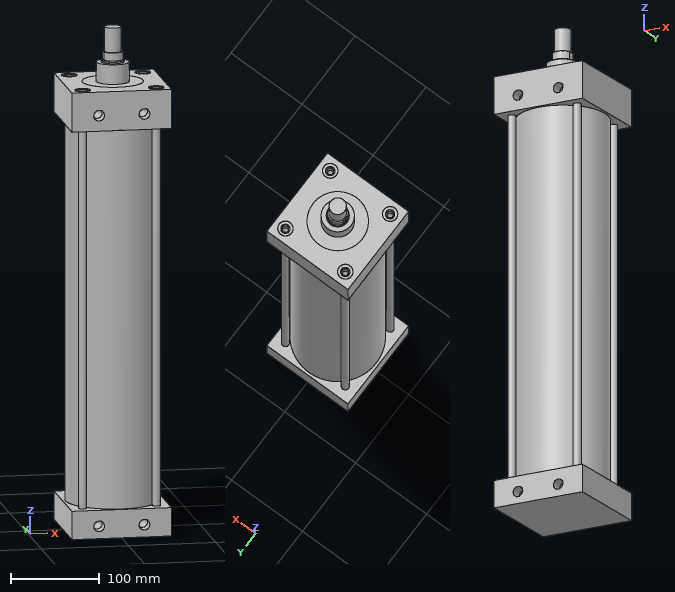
import cadquery as cq
import math

head_side = 114.5
cap_height = 33.0
rod_head_height = 45.0
rod_head_top = 515.0
rod_head_bottom = rod_head_top - rod_head_height

tube_diameter = 108.0
tie_rod_diameter = 9.0
tie_rod_pitch = 84.5

counterbore_diameter = 17.5
counterbore_depth = 0.85
socket_diameter = 10.5
socket_depth = 2.0
core_diameter = 7.5
core_depth = 9.0

port_pitch = 52.0
port_diameter = 12.0
port_depth = 14.5
cap_port_height = 14.5
rod_head_port_height = rod_head_bottom + 18.0
drill_point_angle = 118.0

gland_diameter = 69.5
boss_diameter = 37.5
boss_height = 22.5
boss_top = rod_head_top + boss_height

collar_diameter = 26.0
collar_height = 3.0
collar_chamfer = 1.0
neck_diameter = collar_diameter - 2 * collar_chamfer
neck_flat_width = 22.0
neck_height = 9.0
stud_diameter = 19.5
total_height = 578.0
neck_bottom = boss_top + collar_height
neck_top = neck_bottom + neck_height

tie_rod_offset = tie_rod_pitch / 2
tie_rod_places = [
    (x, y)
    for x in (-tie_rod_offset, tie_rod_offset)
    for y in (-tie_rod_offset, tie_rod_offset)
]
port_places = [
    (x, z)
    for x in (-port_pitch / 2, port_pitch / 2)
    for z in (cap_port_height, rod_head_port_height)
]


def head(bottom, height):
    """Square block centred on the axis."""
    return cq.Workplane("XY").workplane(offset=bottom).rect(head_side, head_side).extrude(height)


def cylinder(diameter, bottom, top, place=(0, 0)):
    """Upright cylinder between two heights."""
    base = cq.Workplane("XY").workplane(offset=bottom).center(*place)
    return base.circle(diameter / 2).extrude(top - bottom)


def drilled_hole(diameter, depth):
    """Blind hole going down from the origin, with a conical drill point."""
    radius = diameter / 2
    point_depth = depth + radius / math.tan(math.radians(drill_point_angle / 2))
    half_profile = [(0, 0), (radius, 0), (radius, -depth), (0, -point_depth)]
    return cq.Workplane("XZ").polyline(half_profile).close().revolve(360, (0, 0, 0), (0, 1, 0))


def tie_rod_recess(place):
    """Stepped recess in the rod-end head at one tie rod."""
    socket_top = rod_head_top - counterbore_depth
    socket_bottom = socket_top - socket_depth
    counterbore = cylinder(counterbore_diameter, socket_top, rod_head_top, place)
    socket = cylinder(socket_diameter, socket_bottom, socket_top, place)
    core = drilled_hole(core_diameter, core_depth).translate((*place, socket_bottom))
    return counterbore.union(socket).union(core)


def port(x, z):
    """Blind port going in from the -Y face."""
    hole = drilled_hole(port_diameter, port_depth).rotate((0, 0, 0), (1, 0, 0), 90)
    return hole.translate((x, -head_side / 2, z))


def make_housing():
    """Heads, tube and tie rods, with a seat for the gland through the rod-end head."""
    body = head(0, cap_height)
    body = body.union(cylinder(tube_diameter, cap_height, rod_head_bottom))
    body = body.union(head(rod_head_bottom, rod_head_height))
    for place in tie_rod_places:
        body = body.union(cylinder(tie_rod_diameter, cap_height, rod_head_bottom, place))
        body = body.cut(tie_rod_recess(place))
    for x, z in port_places:
        body = body.cut(port(x, z))
    return body.cut(cylinder(gland_diameter, rod_head_bottom, rod_head_top))


def make_neck():
    """Round neck with flats facing -X and +X."""
    flats = (
        cq.Workplane("XY")
        .workplane(offset=neck_bottom)
        .rect(neck_flat_width, neck_diameter)
        .extrude(neck_height)
    )
    return cylinder(neck_diameter, neck_bottom, neck_top).intersect(flats)


def make_rod():
    """Gland, boss and projecting rod end."""
    collar = cylinder(collar_diameter, boss_top, neck_bottom).faces(">Z").chamfer(collar_chamfer)
    body = cylinder(gland_diameter, rod_head_bottom, rod_head_top)
    body = body.union(cylinder(boss_diameter, rod_head_top, boss_top))
    body = body.union(collar)
    body = body.union(make_neck())
    return body.union(cylinder(stud_diameter, neck_top, total_height))


housing = make_housing()
rod = make_rod()
result = cq.Compound.makeCompound([housing.solids().val(), rod.solids().val()])